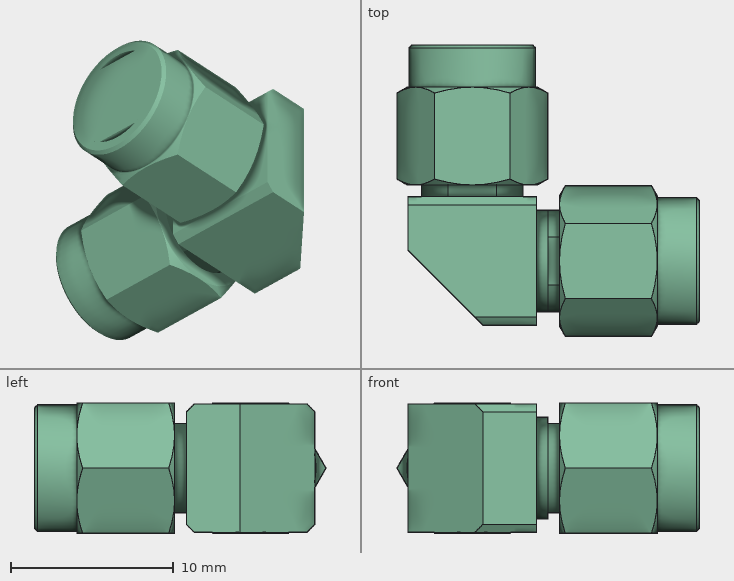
import cadquery as cq
import math


housing_size = 7.9
edge_chamfer = 0.5
miter_leg = 4.6
boss_length = 0.68

neck_diameter = 6.25
neck_across_flats = 5.5
neck_gap = 0.72

hex_across_flats = 8.02
hex_length = 6.0
sleeve_diameter = 7.8
sleeve_length = 2.6
sleeve_chamfer = 0.2
hex_chamfer_angle = 30

half_housing = housing_size / 2
hex_across_corners = hex_across_flats / math.cos(math.radians(30))
corner_overhang = (hex_across_corners - hex_across_flats) / 2
hex_chamfer_depth = corner_overhang * math.tan(math.radians(hex_chamfer_angle))
nut_length = hex_length + sleeve_length
neck_length = neck_gap + nut_length


def make_housing():
    block = (
        cq.Workplane("XY")
        .box(housing_size, housing_size, housing_size)
        .edges("|X")
        .chamfer(edge_chamfer)
    )
    miter = (
        cq.Workplane("XY")
        .workplane(offset=-half_housing)
        .moveTo(-half_housing, -half_housing)
        .lineTo(-half_housing + miter_leg, -half_housing)
        .lineTo(-half_housing, -half_housing + miter_leg)
        .close()
        .extrude(housing_size)
    )
    boss = (
        cq.Workplane("YZ")
        .workplane(offset=half_housing)
        .circle(neck_diameter / 2)
        .extrude(boss_length)
    )
    return block.cut(miter).union(boss)


def make_neck(seat):
    """Round neck along +X from the seat, with a flat on its +Z and -Z sides."""
    rod = cq.Workplane("YZ").workplane(offset=seat).circle(neck_diameter / 2).extrude(neck_length)
    flats = (
        cq.Workplane("YZ")
        .workplane(offset=seat)
        .rect(neck_diameter, neck_across_flats)
        .extrude(neck_length)
    )
    return rod.intersect(flats)


def make_nut(seat):
    """Hexagon with a round sleeve along +X, flats facing +Z and -Z, bored to fit the neck."""
    hex_start = seat + neck_gap
    hexagon = (
        cq.Workplane("YZ")
        .workplane(offset=hex_start)
        .polygon(6, hex_across_corners)
        .extrude(hex_length)
    )
    envelope = (
        cq.Workplane("YZ")
        .workplane(offset=hex_start)
        .circle(hex_across_corners / 2)
        .extrude(hex_length)
        .faces("<X or >X")
        .chamfer(hex_chamfer_depth, corner_overhang)
    )
    sleeve = (
        cq.Workplane("YZ")
        .workplane(offset=hex_start + hex_length)
        .circle(sleeve_diameter / 2)
        .extrude(sleeve_length)
        .faces(">X")
        .chamfer(sleeve_chamfer)
    )
    bore = (
        cq.Workplane("YZ")
        .workplane(offset=hex_start)
        .circle(neck_diameter / 2)
        .extrude(nut_length)
    )
    return hexagon.intersect(envelope).union(sleeve).cut(bore)


housing = make_housing()
bodies = [housing.solids().val()]

connectors = [
    (0, half_housing + boss_length),
    (90, half_housing),
]
for direction, seat in connectors:
    for body in (make_neck(seat), make_nut(seat)):
        turned = body.rotate((0, 0, 0), (0, 0, 1), direction)
        bodies.append(turned.solids().val())

result = cq.Compound.makeCompound(bodies)